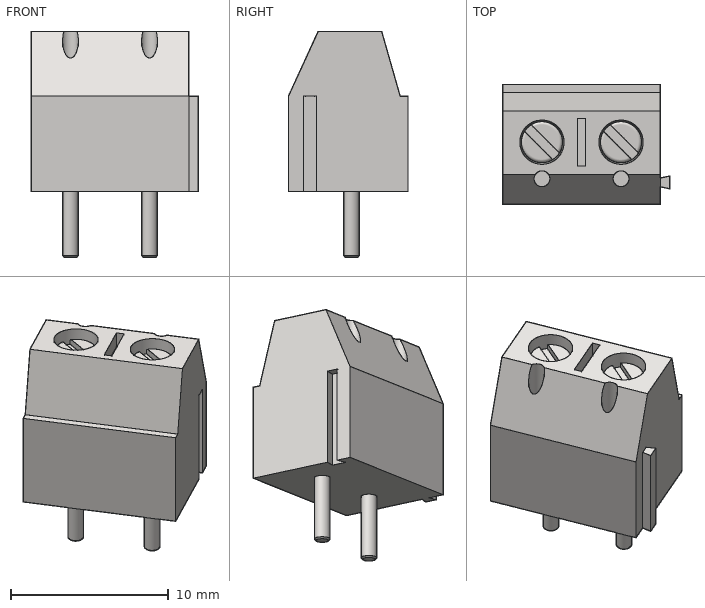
import cadquery as cq

overall_height = 14.3

housing_width = 10.0
housing_depth = 7.6
housing_height = 10.14
shoulder_height = 6.03
front_slope_run = 1.89
back_slope_run = 1.17
back_ledge = 0.5

terminal_count = 2
terminal_pitch = 5.0
first_terminal_x = (housing_width - terminal_pitch * (terminal_count - 1)) / 2
terminal_y = 3.93
terminal_xs = [first_terminal_x + i * terminal_pitch for i in range(terminal_count)]

well_mouth_radius = 1.4
well_depth = 3.0
screw_radius = 1.3
screw_recess = 0.61
screw_edge_fillet = 0.2
driver_slot_width = 0.6
driver_slot_depth = 0.4
driver_slot_angle = -45

probe_hole_radius = 0.5
probe_hole_y = 1.62

top_slot_width = 0.5
top_slot_length = 3.0
top_slot_depth = 1.0

dovetail_y = 1.39
rail_length = 0.6
rail_root_width = 0.57
rail_tip_width = 0.83
dovetail_clearance = 0.1

pin_radius = 0.5
pin_y = 4.0
pin_length = overall_height - housing_height
pin_chamfer = 0.1


def make_dovetail(start_x, length, root_width, tip_width):
    """Upright dovetail bar that widens from start_x towards +X."""
    return (
        cq.Workplane("XY")
        .polyline([
            (start_x, dovetail_y - root_width / 2),
            (start_x + length, dovetail_y - tip_width / 2),
            (start_x + length, dovetail_y + tip_width / 2),
            (start_x, dovetail_y + root_width / 2),
        ])
        .close()
        .extrude(shoulder_height)
    )


def make_block():
    """Side profile with sloping front and back, extruded along X."""
    profile = [
        (0, 0),
        (0, shoulder_height),
        (front_slope_run, housing_height),
        (housing_depth - back_ledge - back_slope_run, housing_height),
        (housing_depth - back_ledge, shoulder_height),
        (housing_depth, shoulder_height),
        (housing_depth, 0),
    ]
    return cq.Workplane("YZ").polyline(profile).close().extrude(housing_width)


def make_screw_well(x):
    """Blind well that narrows from its mouth to the screw radius at its floor."""
    floor_centre = cq.Vector(x, terminal_y, housing_height - well_depth)
    return cq.Workplane(cq.Solid.makeCone(screw_radius, well_mouth_radius, well_depth, pnt=floor_centre))


def make_probe_hole(x):
    """Upright round hole with its flat floor at shoulder height."""
    return (
        cq.Workplane("XY", origin=(x, probe_hole_y, shoulder_height))
        .circle(probe_hole_radius)
        .extrude(housing_height - shoulder_height)
    )


def make_housing():
    """Block with its wells, holes and slot cut, and the dovetail rail joined on."""
    body = make_block()
    for x in terminal_xs:
        body = body.cut(make_screw_well(x))
        body = body.cut(make_probe_hole(x))

    top_slot = (
        cq.Workplane("XY", origin=(housing_width / 2, terminal_y, housing_height - top_slot_depth))
        .rect(top_slot_width, top_slot_length)
        .extrude(top_slot_depth)
    )
    rail = make_dovetail(housing_width, rail_length, rail_root_width, rail_tip_width)
    groove = make_dovetail(
        0,
        rail_length + dovetail_clearance,
        rail_root_width + 2 * dovetail_clearance,
        rail_tip_width + 2 * dovetail_clearance,
    )
    return body.cut(top_slot).cut(groove).union(rail)


def make_screw(x):
    """Round-edged slotted screw head resting on the floor of its well."""
    height = well_depth - screw_recess
    driver_slot = (
        cq.Workplane("XY")
        .box(2 * screw_radius, driver_slot_width, driver_slot_depth, centered=(True, True, False))
        .rotate((0, 0, 0), (0, 0, 1), driver_slot_angle)
        .translate((0, 0, height - driver_slot_depth))
    )
    return (
        cq.Workplane("XY")
        .circle(screw_radius)
        .extrude(height)
        .faces(">Z")
        .edges()
        .fillet(screw_edge_fillet)
        .cut(driver_slot)
        .translate((x, terminal_y, housing_height - well_depth))
    )


def make_pin(x):
    """Round solder pin hanging from the underside, chamfered at its tip."""
    return (
        cq.Workplane("XY", origin=(x, pin_y, -pin_length))
        .circle(pin_radius)
        .extrude(pin_length)
        .faces("<Z")
        .chamfer(pin_chamfer)
    )


housing = make_housing()
screws = [make_screw(x) for x in terminal_xs]
pins = [make_pin(x) for x in terminal_xs]

result = cq.Compound.makeCompound([
    housing.val(),
    *[screw.val() for screw in screws],
    *[pin.val() for pin in pins],
])